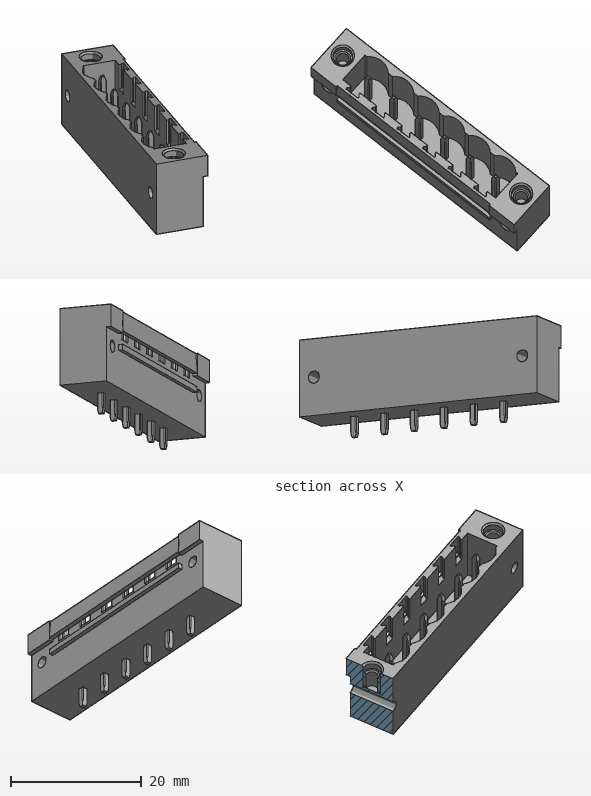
import cadquery as cq

LENGTH = 40.5
DEPTH = 8.4
HEIGHT = 12.02
LOWER_SETBACK = 0.73
OVERHANG_HEIGHT = 3.52
MIDDLE_OVERHANG_HEIGHT = 3.15

PIN_COUNT = 6
PIN_SPAN = 25.4
PITCH = PIN_SPAN / (PIN_COUNT - 1)
PIN_Y = 3.8
PIN_X = [i * PITCH - PIN_SPAN / 2 for i in range(PIN_COUNT)]

CAVITY_LENGTH = 30.45
CAVITY_WALL = 1.58
CAVITY_FRONT = CAVITY_WALL
CAVITY_BACK = DEPTH - CAVITY_WALL
CAVITY_DEPTH = 8.9
CAVITY_FLOOR = HEIGHT - CAVITY_DEPTH
SCALLOP_WIDTH = 4.3
SCALLOP_SAG = 0.9

SLOT_DEPTH = 4.13
SLOT_NECK_WIDTH = 1.8
SLOT_BACK_WIDTH = 2.35
SLOT_NECK_LENGTH = 0.3
SLOT_FLARE = (SLOT_BACK_WIDTH - SLOT_NECK_WIDTH) / 2
SLOT_BACK = DEPTH - LOWER_SETBACK

DRAFT_WIDTH = 0.3
RIB_TOP = HEIGHT - 5.22
RIB_HEIGHT = 0.9
RIB_BACK = DEPTH - 0.1

FLANGE_OFFSET = PIN_SPAN / 2 + PITCH
FLANGE_X = [-FLANGE_OFFSET, FLANGE_OFFSET]
BORE_RADIUS = 1.5
BORE_DEPTH = 4.45
BORE_CHAMFER = 0.3
INSERT_RECESS = 1.25
INSERT_HOLE_RADIUS = 0.97
INSERT_CHAMFER = 0.25
CROSS_HOLE_RADIUS = 0.95
CROSS_HOLE_Z = HEIGHT - 6.05

PIN_WIDTH = 1.0
PIN_EDGE_CHAMFER = 0.15
PIN_BOTTOM = -3.15
PIN_TOP = HEIGHT - 0.95
TOP_TIP_LENGTH = 1.0
TOP_TIP_WIDTH = 0.4
BOTTOM_TIP_LENGTH = 0.95
BOTTOM_TIP_WIDTH = 0.65


def box(x_size, y_min, y_max, z_min, z_max):
    """Block centred on X = 0."""
    corner = cq.Workplane("XY", origin=(0, y_min, z_min))
    return corner.box(x_size, y_max - y_min, z_max - z_min, centered=(True, False, False))


def block():
    """Stepped block: full-depth flanges, a drafted overhang between them and a rib below it."""
    lower = box(LENGTH, 0, DEPTH - LOWER_SETBACK, 0, HEIGHT)
    flange_ends = box(LENGTH, 0, DEPTH, HEIGHT - OVERHANG_HEIGHT, HEIGHT).cut(
        box(CAVITY_LENGTH, SLOT_BACK, DEPTH, HEIGHT - OVERHANG_HEIGHT, HEIGHT)
    )
    rib = box(CAVITY_LENGTH, SLOT_BACK, RIB_BACK, RIB_TOP - RIB_HEIGHT, RIB_TOP)
    return lower.union(flange_ends).union(drafted_overhang()).union(rib)


def drafted_overhang():
    overhang_bottom = HEIGHT - MIDDLE_OVERHANG_HEIGHT
    return (
        cq.Workplane("YZ", origin=(-CAVITY_LENGTH / 2, 0, 0))
        .moveTo(SLOT_BACK, overhang_bottom)
        .lineTo(DEPTH, overhang_bottom)
        .lineTo(DEPTH - DRAFT_WIDTH, HEIGHT)
        .lineTo(SLOT_BACK, HEIGHT)
        .close()
        .extrude(CAVITY_LENGTH)
    )


def cavity_cutter():
    """Rectangular cavity whose front wall is hollowed by one arc in front of each pin."""
    outline = cq.Workplane("XY", origin=(0, 0, CAVITY_FLOOR)).moveTo(-CAVITY_LENGTH / 2, CAVITY_FRONT)
    for x in PIN_X:
        outline = outline.lineTo(x - SCALLOP_WIDTH / 2, CAVITY_FRONT).threePointArc(
            (x, CAVITY_FRONT - SCALLOP_SAG), (x + SCALLOP_WIDTH / 2, CAVITY_FRONT)
        )
    return (
        outline.lineTo(CAVITY_LENGTH / 2, CAVITY_FRONT)
        .lineTo(CAVITY_LENGTH / 2, CAVITY_BACK)
        .lineTo(-CAVITY_LENGTH / 2, CAVITY_BACK)
        .close()
        .extrude(CAVITY_DEPTH)
    )


def slot_cutter(x):
    neck = SLOT_NECK_WIDTH / 2
    back = SLOT_BACK_WIDTH / 2
    neck_end = CAVITY_BACK + SLOT_NECK_LENGTH
    return (
        cq.Workplane("XY", origin=(x, 0, HEIGHT - SLOT_DEPTH))
        .polyline(
            [
                (-neck, CAVITY_BACK),
                (-neck, neck_end),
                (-back, neck_end + SLOT_FLARE),
                (-back, SLOT_BACK),
                (back, SLOT_BACK),
                (back, neck_end + SLOT_FLARE),
                (neck, neck_end),
                (neck, CAVITY_BACK),
            ]
        )
        .close()
        .extrude(SLOT_DEPTH)
    )


def flange_cutter(x):
    """Chamfered insert bore and the cross hole that runs through from front to back."""
    bore = cq.Workplane("XY", origin=(x, PIN_Y, HEIGHT - BORE_DEPTH)).circle(BORE_RADIUS).extrude(BORE_DEPTH)
    lead_in = cq.Workplane("XY").add(
        cq.Solid.makeCone(
            BORE_RADIUS,
            BORE_RADIUS + BORE_CHAMFER,
            BORE_CHAMFER,
            pnt=cq.Vector(x, PIN_Y, HEIGHT - BORE_CHAMFER),
        )
    )
    cross_hole = cq.Workplane("XZ", origin=(x, 0, CROSS_HOLE_Z)).circle(CROSS_HOLE_RADIUS).extrude(-DEPTH)
    return bore.union(lead_in).union(cross_hole)


def make_pin(x):
    """Square pin with bevelled edges and a tapered tip at each end."""
    shank_bottom = PIN_BOTTOM + BOTTOM_TIP_LENGTH
    shank_top = PIN_TOP - TOP_TIP_LENGTH
    shank = (
        cq.Workplane("XY", origin=(x, PIN_Y, shank_bottom))
        .rect(PIN_WIDTH, PIN_WIDTH)
        .extrude(shank_top - shank_bottom)
    )
    top_tip = (
        cq.Workplane("XY", origin=(x, PIN_Y, shank_top))
        .rect(PIN_WIDTH, PIN_WIDTH)
        .workplane(offset=TOP_TIP_LENGTH)
        .rect(TOP_TIP_WIDTH, TOP_TIP_WIDTH)
        .loft(ruled=True)
    )
    bottom_tip = (
        cq.Workplane("XY", origin=(x, PIN_Y, PIN_BOTTOM))
        .rect(BOTTOM_TIP_WIDTH, BOTTOM_TIP_WIDTH)
        .workplane(offset=BOTTOM_TIP_LENGTH)
        .rect(PIN_WIDTH, PIN_WIDTH)
        .loft(ruled=True)
    )
    bevelled_bar = (
        cq.Workplane("XY", origin=(x, PIN_Y, PIN_BOTTOM))
        .rect(PIN_WIDTH, PIN_WIDTH)
        .extrude(PIN_TOP - PIN_BOTTOM)
        .edges("|Z")
        .chamfer(PIN_EDGE_CHAMFER)
    )
    return shank.union(top_tip).union(bottom_tip).intersect(bevelled_bar)


def make_insert(x):
    """Round bushing sunk in the flange bore, with a chamfered hole."""
    insert_height = BORE_DEPTH - INSERT_RECESS
    return (
        cq.Workplane("XY", origin=(x, PIN_Y, HEIGHT - BORE_DEPTH))
        .circle(BORE_RADIUS)
        .circle(INSERT_HOLE_RADIUS)
        .extrude(insert_height)
        .faces(">Z")
        .edges(cq.selectors.RadiusNthSelector(0))
        .chamfer(INSERT_CHAMFER)
    )


def make_housing(pins):
    housing = block().cut(cavity_cutter())
    for x in PIN_X:
        housing = housing.cut(slot_cutter(x))
    for x in FLANGE_X:
        housing = housing.cut(flange_cutter(x))
    for pin in pins:
        housing = housing.cut(pin)
    return housing


pins = [make_pin(x) for x in PIN_X]
inserts = [make_insert(x) for x in FLANGE_X]
housing = make_housing(pins)

result = cq.Compound.makeCompound(
    [housing.val(), *[pin.val() for pin in pins], *[insert.val() for insert in inserts]]
)